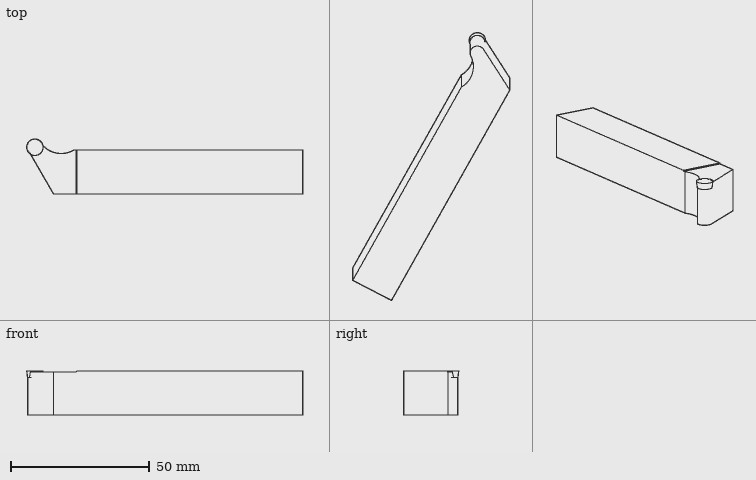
import cadquery as cq
import math

total_length = 100.0
shank_width = 16.0
shank_height = 16.0

insert_radius = 3.0
insert_thickness = 2.4
relief_angle = 7.0
insert_x = insert_radius
insert_y = 17.0
seat_z = shank_height - insert_thickness
insert_base_radius = insert_radius - insert_thickness * math.tan(math.radians(relief_angle))

nose_setback = 0.05
nose_radius = insert_base_radius - nose_setback
flank_angle = 60.0
head_drop = 0.3
step_start_x = 17.9

relief_radius = 9.0
relief_x = 12.5
center_distance = nose_radius + relief_radius
relief_y = insert_y + math.sqrt(center_distance**2 - (relief_x - insert_x) ** 2)


def nose_point(angle):
    """Point on the nose arc at an angle in degrees from +X."""
    turn = math.radians(angle)
    return insert_x + nose_radius * math.cos(turn), insert_y + nose_radius * math.sin(turn)


def holder_blank():
    """Full-height holder with its slanted flank, round nose and concave relief."""
    flank_normal_angle = 270 - flank_angle
    flank_top = nose_point(flank_normal_angle)
    flank_foot_x = flank_top[0] + flank_top[1] / math.tan(math.radians(flank_angle))
    tangent_angle = math.degrees(math.atan2(relief_y - insert_y, relief_x - insert_x))
    relief_end_x = relief_x + math.sqrt(relief_radius**2 - (relief_y - shank_width) ** 2)
    return (
        cq.Workplane("XY")
        .moveTo(flank_foot_x, 0)
        .lineTo(total_length, 0)
        .lineTo(total_length, shank_width)
        .lineTo(relief_end_x, shank_width)
        .threePointArc((relief_x, relief_y - relief_radius), nose_point(tangent_angle))
        .threePointArc(nose_point((tangent_angle + flank_normal_angle) / 2), flank_top)
        .close()
        .extrude(shank_height)
    )


def head_step():
    """Material removed above the head, ending in a 45 degree slope up to the shank."""
    head_z = shank_height - head_drop
    return (
        cq.Workplane("XZ")
        .moveTo(0, head_z)
        .lineTo(step_start_x, head_z)
        .lineTo(step_start_x + head_drop, shank_height)
        .lineTo(0, shank_height)
        .close()
        .extrude(-(insert_y + insert_radius))
    )


def make_insert():
    """Round insert, widest at its cutting edge on top."""
    return (
        cq.Workplane("XY", origin=(insert_x, insert_y, seat_z))
        .circle(insert_base_radius)
        .workplane(offset=insert_thickness)
        .circle(insert_radius)
        .loft(ruled=True)
    )


insert = make_insert()
holder = holder_blank().cut(head_step()).cut(insert)

result = cq.Compound.makeCompound([holder.val(), insert.val()])